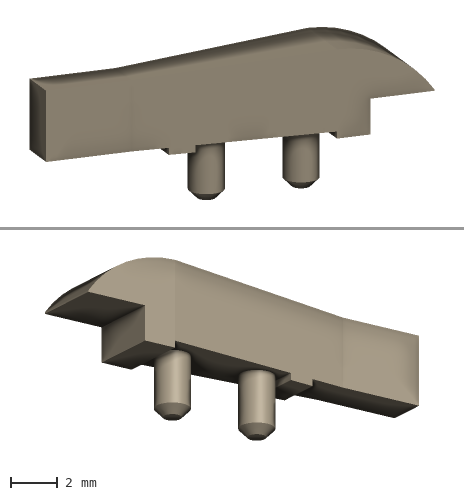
import cadquery as cq

length = 17.68
tail_length = 3.96
head_start = 13.17
foot_end = 14.73
lug_start = 5.62
lug_end = 6.82

head_width = 3.3
tail_width = 1.87

total_height = 6.49
head_height = 3.7
tail_height = 3.2
lip_height = 1.29
nose_edge = 0.07
foot_depth = 0.32

pin_diameter = 1.6
pin_length = total_height - head_height
pin_chamfer = 0.39
pin_positions = [7.8, 12.18]

crown_run = length - head_start
crown_drop = head_height - lip_height - nose_edge
crown_radius = (crown_run**2 + crown_drop**2) / (2 * crown_drop)
crown_mid_y = head_start + crown_run / 2
crown_mid_z = head_height - crown_radius + (crown_radius**2 - (crown_run / 2) ** 2) ** 0.5


def make_side_profile():
    """Side outline in the YZ plane, extruded to the full head width."""
    return (
        cq.Workplane("YZ")
        .moveTo(0, 0)
        .lineTo(lug_start, 0)
        .lineTo(lug_start, -foot_depth)
        .lineTo(lug_end, -foot_depth)
        .lineTo(lug_end, 0)
        .lineTo(head_start, 0)
        .lineTo(head_start, -foot_depth)
        .lineTo(foot_end, -foot_depth)
        .lineTo(foot_end, lip_height)
        .lineTo(length, lip_height)
        .lineTo(length, lip_height + nose_edge)
        .threePointArc((crown_mid_y, crown_mid_z), (head_start, head_height))
        .lineTo(tail_length, tail_height)
        .lineTo(0, tail_height)
        .close()
        .extrude(head_width / 2, both=True)
    )


def make_plan():
    """Plan outline that tapers from the head to the tail, as a tall prism."""
    half_head = head_width / 2
    half_tail = tail_width / 2
    right_side = [(half_tail, 0), (half_tail, tail_length), (half_head, head_start), (half_head, length)]
    left_side = [(-x, y) for x, y in reversed(right_side)]
    return (
        cq.Workplane("XY", origin=(0, 0, -foot_depth))
        .polyline(right_side + left_side)
        .close()
        .extrude(foot_depth + head_height)
    )


def make_pin(y):
    """Round pin hanging from the underside, chamfered at its free end."""
    return (
        cq.Workplane("XY", origin=(0, y, 0))
        .circle(pin_diameter / 2)
        .extrude(-pin_length)
        .faces("<Z")
        .chamfer(pin_chamfer)
    )


result = make_side_profile().intersect(make_plan())
for pin_y in pin_positions:
    result = result.union(make_pin(pin_y))